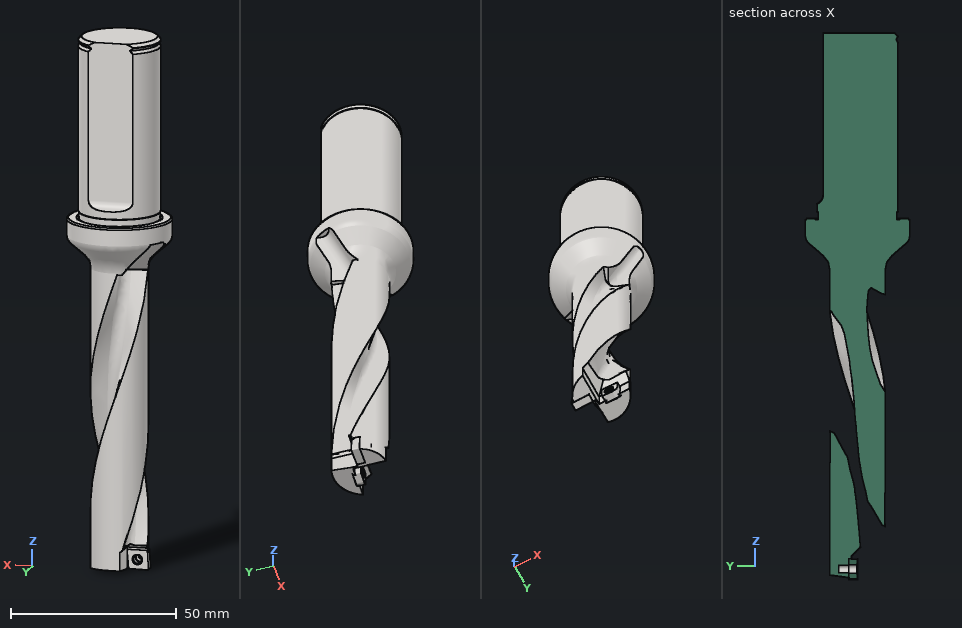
import cadquery as cq
import math


SHANK_RADIUS = 12.5
SHANK_LENGTH = 56.0
SHANK_CHAMFER = 1.0
RING_GROOVE_RADIUS = 12.0
RING_GROOVE_TOP = SHANK_LENGTH - 1.2
RING_GROOVE_FLOOR = SHANK_LENGTH - 2.0
RING_GROOVE_BOTTOM = SHANK_LENGTH - 3.0
UNDERCUT_RADIUS = 24.5 / 2
UNDERCUT_HEIGHT = 1.8
UNDERCUT_CHAMFER = SHANK_RADIUS - UNDERCUT_RADIUS
FLAT_Y = 10.4
FLAT_START_Z = 4.2
FLAT_RUNOUT_RADIUS = 2.9

FLANGE_RADIUS = 16.0
FLANGE_CHAMFER = 0.5
FACE_GROOVE_RADIUS = 13.0
FACE_GROOVE_DEPTH = 0.3
CONE_TOP_Z = -6.7
CONE_BOTTOM_Z = -13.0
FLANGE_CORNER_RADIUS = 2.6
NECK_FILLET_RADIUS = 5.7

BODY_RADIUS = 8.8
TIP_Z = -109.03
BODY_BOTTOM_Z = TIP_Z + 0.5
TIP_RELIEF_START_Y = 2.0
TIP_RELIEF_RISE = 0.9

FLUTE_TOP_Z = -16.0
FLUTE_BOTTOM_Z = -101.0
FLUTE_CORNER_RADIUS = 3.0
FLUTE_SIDE = 20.0
FLUTE_TWIST_PER_MM = 2.25
FRONT_FLUTE = (0.9, -50.5)
BACK_FLUTE = (2.6, 144.0)
RUNOUT_TURN = 10.0
RUNOUT_ANGLE = 40.0
RUNOUT_LENGTH = 16.0

POCKET_TOP_Z = -98.8
POCKET_TOP_CHAMFER = 3.1
FRONT_POCKET_X = -1.8
FRONT_POCKET_Y = 1.8
BACK_POCKET_X = -2.4
BACK_POCKET_Y = 0.2

INSERT_THICKNESS = 2.6
INSERT_CORNER_RADIUS = 0.4
INSERT_HOLE_DIAMETER = 2.5
INSERT_COUNTERSINK_DIAMETER = 3.1
COUNTERSINK_ANGLE = 90.0
SCREW_HOLE_DIAMETER = 2.2
SCREW_HOLE_DEPTH = 3.0
CENTRE_FACE_Y = 0.0
OUTER_FACE_Y = BACK_POCKET_Y
INSERT_TOP_Z = TIP_Z + 6.4
CENTRE_INSERT_OUTLINE = [
    (0.0, INSERT_TOP_Z + 0.1),
    (5.5, INSERT_TOP_Z - 0.4),
    (5.3, TIP_Z + 0.7),
    (3.7, TIP_Z),
    (0.2, TIP_Z + 0.6),
]
CENTRE_HOLE = (2.5, TIP_Z + 3.2)
OUTER_INSERT_OUTLINE = [
    (-2.4, INSERT_TOP_Z),
    (-8.75, INSERT_TOP_Z),
    (-9.1, TIP_Z + 0.3),
    (-2.9, TIP_Z + 0.4),
]
OUTER_HOLE = (-5.6, TIP_Z + 3.4)


def turned_blank():
    """Shank, flange, neck and plain drill body as one turned shape."""
    profile = [
        (0, SHANK_LENGTH),
        (SHANK_RADIUS - SHANK_CHAMFER, SHANK_LENGTH),
        (SHANK_RADIUS, SHANK_LENGTH - SHANK_CHAMFER),
        (SHANK_RADIUS, RING_GROOVE_TOP),
        (RING_GROOVE_RADIUS, RING_GROOVE_FLOOR),
        (SHANK_RADIUS, RING_GROOVE_BOTTOM),
        (SHANK_RADIUS, UNDERCUT_HEIGHT + UNDERCUT_CHAMFER),
        (UNDERCUT_RADIUS, UNDERCUT_HEIGHT),
        (UNDERCUT_RADIUS, -FACE_GROOVE_DEPTH),
        (FACE_GROOVE_RADIUS, -FACE_GROOVE_DEPTH),
        (FACE_GROOVE_RADIUS, 0),
        (FLANGE_RADIUS - FLANGE_CHAMFER, 0),
        (FLANGE_RADIUS, -FLANGE_CHAMFER),
        (FLANGE_RADIUS, CONE_TOP_Z),
        (BODY_RADIUS, CONE_BOTTOM_Z),
        (BODY_RADIUS, BODY_BOTTOM_Z),
        (0, BODY_BOTTOM_Z),
    ]
    blank = cq.Workplane("XZ").polyline(profile).close().revolve(360, (0, 0), (0, 1))
    blank = edge_round(blank, FLANGE_RADIUS, CONE_TOP_Z, FLANGE_CORNER_RADIUS)
    return edge_round(blank, BODY_RADIUS, CONE_BOTTOM_Z, NECK_FILLET_RADIUS)


def edge_round(solid, edge_radius, edge_z, fillet_radius):
    """Round the circular edge of the given radius and height."""
    reach = edge_radius + 0.1
    corner = (reach, reach, edge_z + 0.1)
    opposite = (-reach, -reach, edge_z - 0.1)
    return solid.edges(cq.selectors.BoxSelector(corner, opposite, boundingbox=True)).fillet(fillet_radius)


def shank_flat():
    """Cutter for the clamping flat on the +Y side, with a round runout at its lower end."""
    cutter = cq.Workplane("XY").box(
        2 * SHANK_RADIUS, SHANK_RADIUS, SHANK_LENGTH, centered=(True, False, False)
    )
    cutter = cutter.edges("<Y and <Z").fillet(FLAT_RUNOUT_RADIUS)
    return cutter.translate((0, FLAT_Y, FLAT_START_Z))


def flute_outline(corner_offset):
    """Right-angled V opening along local X, with a round root."""
    wall_run = FLUTE_SIDE / math.sqrt(2)
    root_tangent = FLUTE_CORNER_RADIUS / math.sqrt(2)
    root_depth = corner_offset + FLUTE_CORNER_RADIUS * (math.sqrt(2) - 1)
    return (
        cq.Workplane("XY")
        .moveTo(corner_offset + wall_run, wall_run)
        .lineTo(corner_offset + root_tangent, root_tangent)
        .threePointArc((root_depth, 0), (corner_offset + root_tangent, -root_tangent))
        .lineTo(corner_offset + wall_run, -wall_run)
        .close()
    )


def flute(corner_offset, direction):
    """Helical flute cutter that starts at the given direction near the tip and runs out into the neck."""
    length = FLUTE_TOP_Z - FLUTE_BOTTOM_Z
    twist = FLUTE_TWIST_PER_MM * length
    helix = flute_outline(corner_offset).twistExtrude(length, twist)
    helix = helix.rotate((0, 0, 0), (0, 0, 1), direction).translate((0, 0, FLUTE_BOTTOM_Z))
    return helix, flute_runout(corner_offset, direction + twist + RUNOUT_TURN)


def flute_runout(corner_offset, direction):
    """Inclined cutter that carries the flute section up and outward through the neck."""
    rise = RUNOUT_LENGTH * math.sin(math.radians(RUNOUT_ANGLE))
    reach = RUNOUT_LENGTH * math.cos(math.radians(RUNOUT_ANGLE))
    path = cq.Workplane("XZ").lineTo(reach, rise)
    runout = flute_outline(corner_offset).sweep(path)
    return runout.rotate((0, 0, 0), (0, 0, 1), direction).translate((0, 0, FLUTE_TOP_Z))


def tip_pocket(wall_x, wall_y, side_x, side_y, inner_top_edges):
    """Corner pocket cutter that opens toward the given X and Y sides; its inner top edges slope."""
    size = 2 * BODY_RADIUS
    depth = POCKET_TOP_Z - TIP_Z
    cutter = cq.Workplane("XY").box(size, size, depth, centered=(True, True, False))
    cutter = cutter.edges(inner_top_edges).chamfer(POCKET_TOP_CHAMFER)
    return cutter.translate((wall_x + side_x * size / 2, wall_y + side_y * size / 2, TIP_Z))


def tip_relief():
    """Wedge that lifts the end face toward +Y."""
    profile = [
        (TIP_RELIEF_START_Y, BODY_BOTTOM_Z),
        (BODY_RADIUS, BODY_BOTTOM_Z + TIP_RELIEF_RISE),
        (BODY_RADIUS, BODY_BOTTOM_Z),
    ]
    return cq.Workplane("YZ").polyline(profile).close().extrude(BODY_RADIUS, both=True)


def insert_blank(outline, face_y, extrude_sign):
    """Insert without its hole; extrude_sign is the extrusion sign that puts its thickness behind the face."""
    blank = cq.Workplane("XZ", origin=(0, face_y, 0)).polyline(outline).close()
    blank = blank.extrude(extrude_sign * INSERT_THICKNESS)
    return blank.edges("|Y").fillet(INSERT_CORNER_RADIUS)


def round_hole(centre, face_y, extrude_sign, diameter, depth):
    """Cylinder that runs from an insert face into the part."""
    hole = cq.Workplane("XZ", origin=(0, face_y, 0)).center(*centre).circle(diameter / 2)
    return hole.extrude(extrude_sign * depth)


def countersink(centre, face_y, extrude_sign):
    """Cone at the mouth of an insert hole."""
    radius = INSERT_COUNTERSINK_DIAMETER / 2
    depth = radius / math.tan(math.radians(COUNTERSINK_ANGLE / 2))
    start = cq.Vector(centre[0], face_y, centre[1])
    return cq.Workplane(cq.Solid.makeCone(radius, 0, depth, start, cq.Vector(0, -extrude_sign, 0)))


def cutting_insert(outline, centre, face_y, extrude_sign):
    """Insert with a countersunk through hole."""
    hole = round_hole(centre, face_y, extrude_sign, INSERT_HOLE_DIAMETER, INSERT_THICKNESS)
    sink = countersink(centre, face_y, extrude_sign)
    return insert_blank(outline, face_y, extrude_sign).cut(hole).cut(sink)


CENTRE_INSERT = (CENTRE_INSERT_OUTLINE, CENTRE_HOLE, CENTRE_FACE_Y, -1)
OUTER_INSERT = (OUTER_INSERT_OUTLINE, OUTER_HOLE, OUTER_FACE_Y, 1)


def drill_holder():
    """Turned blank with its flat, flutes, tip pockets, insert seats and screw holes."""
    holder = turned_blank().cut(shank_flat())
    for corner_offset, direction in (FRONT_FLUTE, BACK_FLUTE):
        for cutter in flute(corner_offset, direction):
            holder = holder.cut(cutter)
    holder = holder.cut(tip_pocket(FRONT_POCKET_X, FRONT_POCKET_Y, 1, -1, "(<X or >Y) and >Z"))
    holder = holder.cut(tip_pocket(BACK_POCKET_X, BACK_POCKET_Y, -1, 1, "(>X or <Y) and >Z"))
    holder = holder.cut(tip_relief())
    for outline, centre, face_y, extrude_sign in (CENTRE_INSERT, OUTER_INSERT):
        holder = holder.cut(insert_blank(outline, face_y, extrude_sign))
        screw_depth = INSERT_THICKNESS + SCREW_HOLE_DEPTH
        holder = holder.cut(round_hole(centre, face_y, extrude_sign, SCREW_HOLE_DIAMETER, screw_depth))
    return holder


holder = drill_holder()
centre_insert = cutting_insert(*CENTRE_INSERT)
outer_insert = cutting_insert(*OUTER_INSERT)

bodies = [holder, centre_insert, outer_insert]
result = cq.Compound.makeCompound([body.solids().val() for body in bodies])